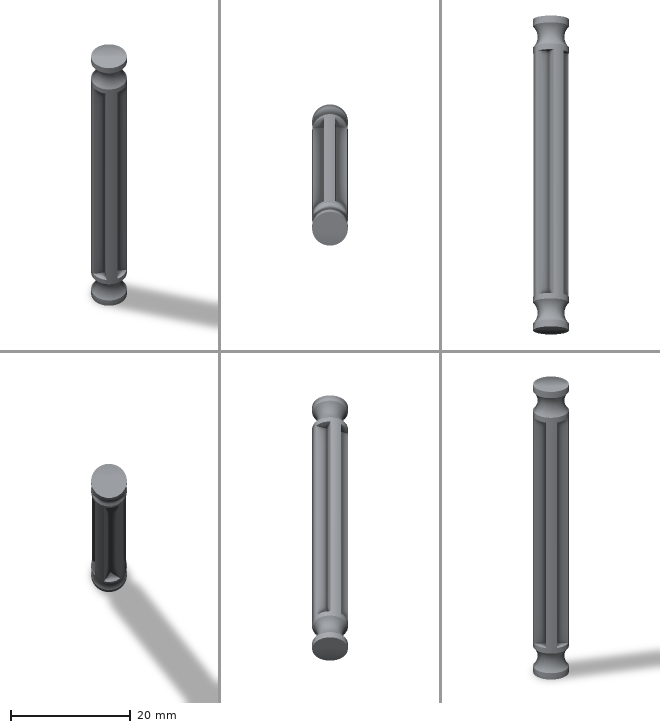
import cadquery as cq
import math

length = 53.55
radius = 3.0
rim_height = 1.2
neck_height = 3.65
collar_height = 0.95
waist_radius = 2.25
groove_half_width = 1.365
groove_count = 4

end_z = length / 2
neck_top_z = end_z - rim_height
neck_bottom_z = neck_top_z - neck_height
waist_z = (neck_top_z + neck_bottom_z) / 2
groove_end_z = neck_bottom_z - collar_height

groove_edge_distance = math.sqrt(radius**2 - groove_half_width**2)
groove_root_distance = groove_edge_distance - groove_half_width


def make_body():
    """Revolve the round pin with a concave neck at each end."""
    return (
        cq.Workplane("XZ")
        .moveTo(0, -end_z)
        .lineTo(radius, -end_z)
        .lineTo(radius, -neck_top_z)
        .threePointArc((waist_radius, -waist_z), (radius, -neck_bottom_z))
        .lineTo(radius, neck_bottom_z)
        .threePointArc((waist_radius, waist_z), (radius, neck_top_z))
        .lineTo(radius, end_z)
        .lineTo(0, end_z)
        .close()
        .revolve(360, (0, 0, 0), (0, 1, 0))
    )


def make_groove_cutter():
    """Triangular prism for the +X groove, reaching out past the surface."""
    outer_distance = 2 * radius
    outer_half_width = outer_distance - groove_root_distance
    return (
        cq.Workplane("XY")
        .polyline([
            (groove_root_distance, 0),
            (outer_distance, outer_half_width),
            (outer_distance, -outer_half_width),
        ])
        .close()
        .extrude(groove_end_z, both=True)
    )


result = make_body()
groove_cutter = make_groove_cutter()
for index in range(groove_count):
    angle = index * 360 / groove_count
    result = result.cut(groove_cutter.rotate((0, 0, 0), (0, 0, 1), angle))